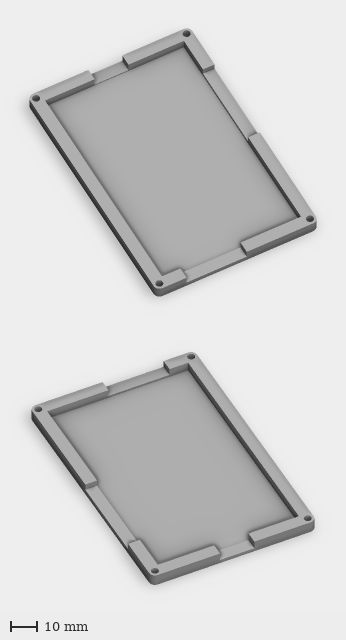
import cadquery as cq

LENGTH = 104.7
WIDTH = 70.1
HEIGHT = 5.0
CORNER_RADIUS = 2.5

WALL = 5.0
FLOOR_THICKNESS = 1.0
POCKET_LENGTH = LENGTH - 2 * WALL
POCKET_WIDTH = WIDTH - 2 * WALL

HOLE_DIAMETER = 3.0

LEFT_NOTCH_START = -8.6
LEFT_NOTCH_LENGTH = 14.7
LEFT_SILL = 1.6

RIGHT_NOTCH_START = -22.1
RIGHT_NOTCH_LENGTH = 26.0
RIGHT_SILL = 2.0

BACK_NOTCH_START = -31.9
BACK_NOTCH_LENGTH = 36.5
BACK_SILL = 2.3


def make_body():
    """Flat block with rounded vertical corners."""
    block = cq.Workplane("XY").box(LENGTH, WIDTH, HEIGHT, centered=(True, True, False))
    return block.edges("|Z").fillet(CORNER_RADIUS)


def make_pocket():
    """Cutter for the central pocket."""
    return (
        cq.Workplane("XY")
        .workplane(offset=FLOOR_THICKNESS)
        .rect(POCKET_LENGTH, POCKET_WIDTH)
        .extrude(HEIGHT - FLOOR_THICKNESS)
    )


def make_corner_holes():
    """Cutters for the four corner holes."""
    spacing_x = LENGTH - 2 * CORNER_RADIUS
    spacing_y = WIDTH - 2 * CORNER_RADIUS
    return (
        cq.Workplane("XY")
        .rect(spacing_x, spacing_y, forConstruction=True)
        .vertices()
        .circle(HOLE_DIAMETER / 2)
        .extrude(HEIGHT)
    )


def make_notch(x_start, y_start, x_size, y_size, sill):
    """Cutter for a wall notch, from its sill up to the top face."""
    notch = cq.Workplane("XY").box(x_size, y_size, HEIGHT - sill, centered=False)
    return notch.translate((x_start, y_start, sill))


left_notch = make_notch(-LENGTH / 2, LEFT_NOTCH_START, WALL, LEFT_NOTCH_LENGTH, LEFT_SILL)
right_notch = make_notch(POCKET_LENGTH / 2, RIGHT_NOTCH_START, WALL, RIGHT_NOTCH_LENGTH, RIGHT_SILL)
back_notch = make_notch(BACK_NOTCH_START, POCKET_WIDTH / 2, BACK_NOTCH_LENGTH, WALL, BACK_SILL)

result = make_body().cut(make_pocket()).cut(make_corner_holes())
for notch in (left_notch, right_notch, back_notch):
    result = result.cut(notch)